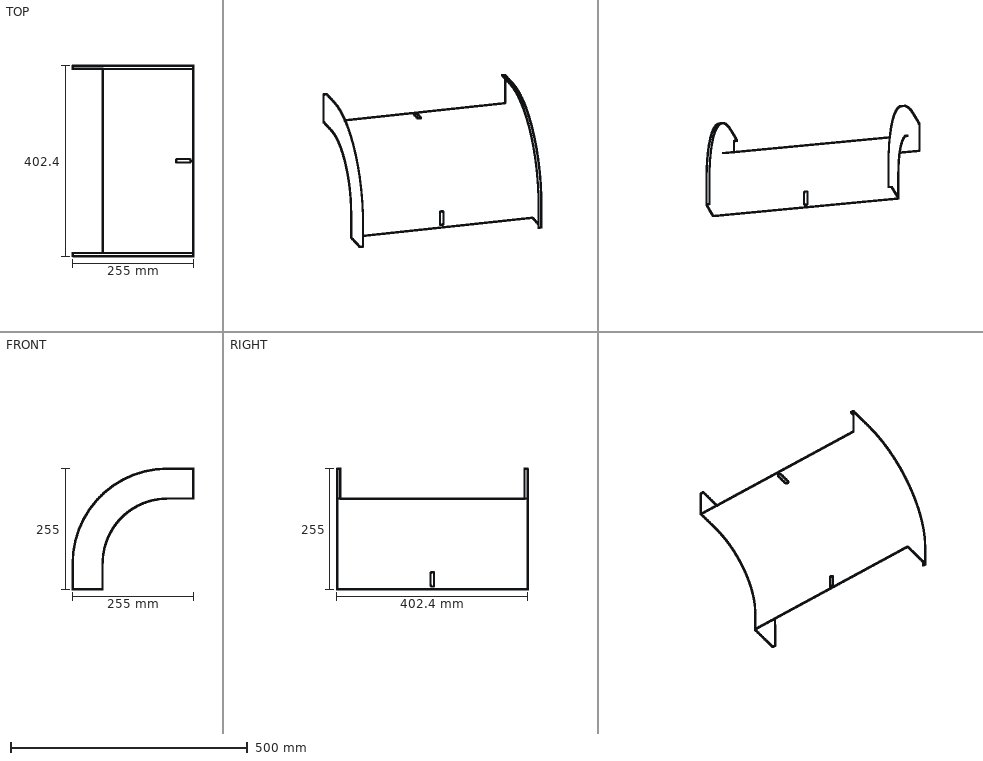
import cadquery as cq


sheet = 0.4
outer_width = 402.4
wall_height = 63.7
lip_width = 7.0
bend_outside = 2.1

outer_radius = 200.0
straight_length = 55.0
arc_angle = 90.0

slot_length = 31.5
slot_width = 7.6
slot_depth = sheet / 2
slot_end_margin = 5.5

bend_inside = bend_outside - sheet
inner_radius = outer_radius - wall_height
floor_radius = inner_radius + sheet
slot_middle = straight_length - slot_end_margin - slot_length / 2


def rounded_rectangle(width, height, corner_radius):
    """Sketch of a centred rectangle with rounded corners."""
    return cq.Sketch().rect(width, height).vertices().fillet(corner_radius).reset()


def channel_section():
    """Folded sheet across the channel, with Y across and Z up, open between the two lips."""
    hollow = rounded_rectangle(outer_width - 2 * sheet, wall_height - 2 * sheet, bend_inside)
    section = (
        rounded_rectangle(outer_width, wall_height, bend_outside)
        .face(hollow, mode="s")
        .push([(0, wall_height / 2)])
        .rect(outer_width - 2 * lip_width, 2 * sheet, mode="s")
        .reset()
    )
    middle_radius = inner_radius + wall_height / 2
    return section.moved(cq.Location(cq.Vector(0, middle_radius, 0)))


def straight_run():
    """Upper straight run along +X, with the slot sunk in its floor."""
    run = cq.Workplane("YZ").placeSketch(channel_section()).extrude(straight_length)
    slot = (
        cq.Workplane("XY", origin=(slot_middle, 0, floor_radius - slot_depth))
        .slot2D(slot_length, slot_width)
        .extrude(slot_depth)
    )
    return run.cut(slot)


def arc_run():
    """Quarter turn about the bend axis, from straight up (+Z) round to -X."""
    section = cq.Workplane("YZ").placeSketch(channel_section())
    return section.revolve(arc_angle, (0, 0, 0), (-1, 0, 0))


upper_run = straight_run()
lower_run = upper_run.mirror("YZ").rotate((0, 0, 0), (0, 1, 0), -arc_angle)

result = upper_run.union(arc_run()).union(lower_run)